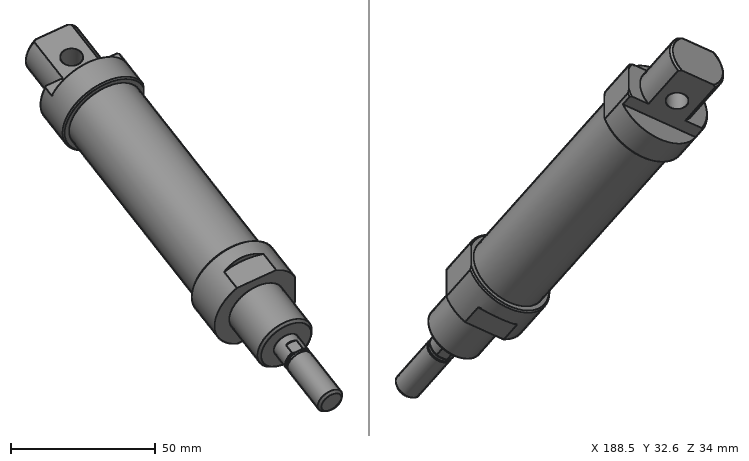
import cadquery as cq


cap_radius = 17.0
lug_length = 20.0
shoulder_x = 24.9
rear_cap_end = 36.0
lug_thickness = 16.0
lug_chamfer = 0.8
pivot_hole_diameter = 8.0
pivot_hole_x = 13.4

cap_edge_chamfer = 0.5
side_flat_y = 15.6

barrel_radius = 29.2 / 2
barrel_end = 122.0

front_cap_end = 138.0
nose_end = 158.0
nose_radius = 22.0 / 2
nose_chamfer = 1.0
cap_flat_z = 30.0 / 2
cap_flat_x = 128.4
cap_flat_wall_radius = 30.2

rod_radius = 10.0 / 2
rod_shoulder_x = 165.9
neck_end = 167.2
neck_radius = 4.3
rod_end = 188.5
rod_chamfer = 1.0
rod_shoulder_chamfer = 0.4
rod_flat_z = 4.5
rod_flat_x = 161.2
rod_flat_wall_radius = 7.5


def cylinder_x(radius, start, end):
    """Round bar along the X axis."""
    return cq.Workplane("YZ", origin=(start, 0, 0)).circle(radius).extrude(end - start)


def cut_side_flat(cap, start, end):
    """Mill the +Y side of a cap flat between two places along X."""
    cutter = cq.Workplane("XY").box(
        end - start, cap_radius, 2 * cap_radius, centered=(False, False, True)
    )
    return cap.cut(cutter.translate((start, side_flat_y, 0)))


def cut_wrench_flats(body, flat_z, start, wall_radius):
    """Mill flats above and below the axis with an upright round cutter that reaches back to start."""
    upper = (
        cq.Workplane("XY", origin=(start + wall_radius, 0, flat_z))
        .circle(wall_radius)
        .extrude(flat_z)
    )
    return body.cut(upper).cut(upper.mirror("XY"))


def make_rear_cap():
    disc = cylinder_x(cap_radius, lug_length, rear_cap_end).edges().chamfer(cap_edge_chamfer)
    disc = cut_side_flat(disc, lug_length, rear_cap_end)
    lug = cylinder_x(nose_radius, 0, rear_cap_end).faces("<X").edges().chamfer(lug_chamfer)
    cap = disc.union(lug)
    for side in (1, -1):
        slab = cq.Workplane("XY").box(
            shoulder_x, 2 * cap_radius, cap_radius, centered=(False, True, True)
        )
        cap = cap.cut(slab.translate((0, 0, side * (lug_thickness + cap_radius) / 2)))
    pivot_hole = (
        cq.Workplane("XY")
        .center(pivot_hole_x, 0)
        .circle(pivot_hole_diameter / 2)
        .extrude(lug_thickness, both=True)
    )
    return cap.cut(pivot_hole)


def make_barrel():
    return cylinder_x(barrel_radius, rear_cap_end, barrel_end)


def make_front_cap():
    cap = cylinder_x(cap_radius, barrel_end, front_cap_end)
    cap = cap.faces("<X").edges().chamfer(cap_edge_chamfer)
    cap = cut_side_flat(cap, barrel_end, front_cap_end)
    cap = cut_wrench_flats(cap, cap_flat_z, cap_flat_x, cap_flat_wall_radius)
    nose = cylinder_x(nose_radius, barrel_end, nose_end).faces(">X").edges().chamfer(nose_chamfer)
    return cap.union(nose)


def make_rod():
    shank = cylinder_x(rod_radius, nose_end, rod_shoulder_x)
    shank = shank.faces(">X").edges().chamfer(rod_shoulder_chamfer)
    shank = cut_wrench_flats(shank, rod_flat_z, rod_flat_x, rod_flat_wall_radius)
    tip = cylinder_x(rod_radius, neck_end, rod_end).faces(">X").edges().chamfer(rod_chamfer)
    neck = cylinder_x(neck_radius, rod_shoulder_x, neck_end)
    return shank.union(neck).union(tip)


rear_cap = make_rear_cap()
barrel = make_barrel()
front_cap = make_front_cap()
rod = make_rod()

result = cq.Compound.makeCompound([rear_cap.val(), barrel.val(), front_cap.val(), rod.val()])